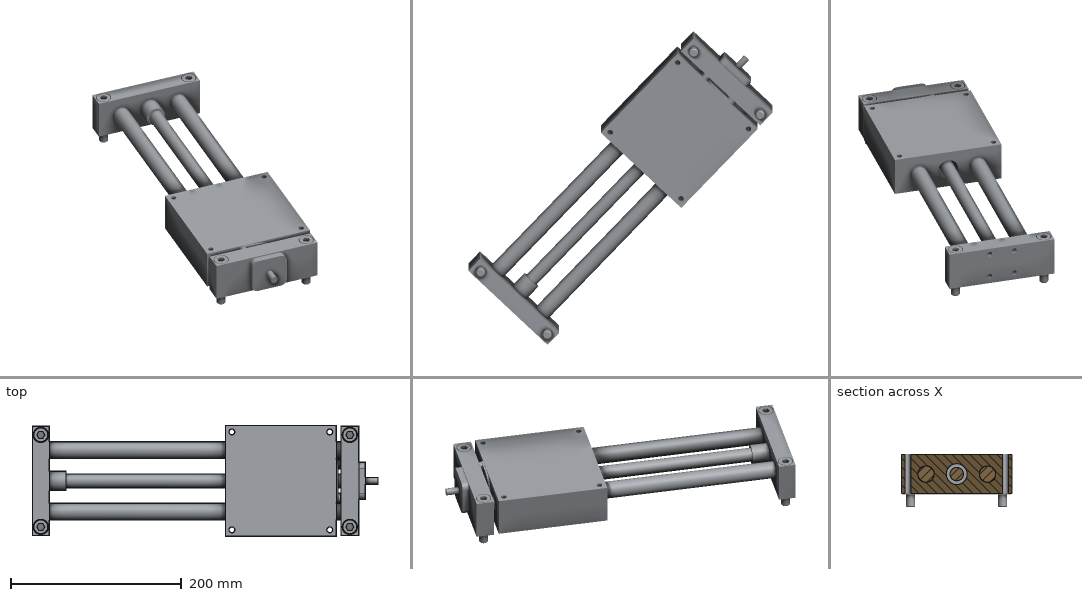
import cadquery as cq
import math


total_length = 405.0
near_plate_length = 20.0
far_plate_start = 361.3
far_plate_length = 21.0
far_plate_end = far_plate_start + far_plate_length

plate_width = 128.0
plate_height = 46.5
axis_height = 24.5
plate_hole_diameter = 6.0
plate_hole_depth = 10.0
plate_hole_offset = 15.0

rod_diameter = 20.0
rod_offset = 36.0
lead_screw_diameter = 16.0
collar_diameter = 22.5
collar_length = 20.0

flange_width = 43.7
flange_height = 42.0
flange_thickness = 7.5
flange_corner_radius = 7.3
journal_diameter = 8.0

mount_offset = 54.0
counterbore_diameter = 18.0
head_diameter = 16.0
head_height = 11.0
socket_width = 8.0
socket_depth = 5.0
thread_diameter = 10.5
thread_projection = 14.5
thread_chamfer = 1.2

carriage_length = 130.0
carriage_width = 130.0
carriage_height = 46.0
carriage_start = 226.0
carriage_end = carriage_start + carriage_length
carriage_bottom = 1.2
carriage_top = carriage_bottom + carriage_height
corner_hole_diameter = 6.5
corner_hole_inset = 7.5
screw_clearance_diameter = 24.0

nut_diameter = 43.7
nut_thickness = 2.0
ear_y = 19.5
ear_z = 16.5
ear_diameter = 12.0
bolt_head_diameter = 11.0
bolt_head_height = 3.0

stop_pin_diameter = 8.5
stop_pin_y = -21.0
stop_pin_z = -16.5


def cylinder_x(diameter, start, end, y=0.0, z=0.0):
    """Cylinder along X, with y and z measured from the lead screw axis."""
    circle = cq.Workplane("YZ", origin=(start, y, axis_height + z)).circle(diameter / 2)
    return circle.extrude(end - start)


def block(start, length, width, bottom, height):
    """Block centred in Y that starts at the given X and Z."""
    solid = cq.Workplane("XY").box(length, width, height, centered=(False, True, False))
    return solid.translate((start, 0, bottom))


def mount_screw():
    """Socket head screw whose head top is at Z = 0."""
    hex_corner_diameter = socket_width / math.cos(math.pi / 6)
    shank_length = plate_height + thread_projection
    shank = cq.Workplane("XY").circle(thread_diameter / 2).extrude(-shank_length)
    shank = shank.faces("<Z").chamfer(thread_chamfer)
    head = cq.Workplane("XY").circle(head_diameter / 2).extrude(-head_height)
    socket = cq.Workplane("XY").polygon(6, hex_corner_diameter).extrude(-socket_depth)
    return shank.union(head).cut(socket)


def end_plate(start, length):
    """End plate with a counterbored mounting screw near each end."""
    plate = block(start, length, plate_width, 0, plate_height)
    for side in (-1, 1):
        head_top = (start + length / 2, side * mount_offset, plate_height)
        counterbore = cq.Workplane("XY", origin=head_top).circle(counterbore_diameter / 2)
        plate = plate.cut(counterbore.extrude(-head_height))
        plate = plate.union(mount_screw().translate(head_top))
    return plate


def near_plate():
    plate = end_plate(0, near_plate_length)
    for y in (-plate_hole_offset, plate_hole_offset):
        for z in (-plate_hole_offset, plate_hole_offset):
            plate = plate.cut(cylinder_x(plate_hole_diameter, 0, plate_hole_depth, y, z))
    return plate


def bearing_flange():
    bottom = axis_height - flange_height / 2
    flange = block(far_plate_end, flange_thickness, flange_width, bottom, flange_height)
    return flange.edges("|X").fillet(flange_corner_radius)


def lead_screw():
    collar = cylinder_x(collar_diameter, near_plate_length, near_plate_length + collar_length)
    screw = cylinder_x(lead_screw_diameter, near_plate_length, far_plate_start)
    journal = cylinder_x(journal_diameter, far_plate_start, total_length)
    return collar.union(screw).union(journal)


def build_frame():
    frame = near_plate().union(end_plate(far_plate_start, far_plate_length))
    for side in (-1, 1):
        guide_rod = cylinder_x(rod_diameter, near_plate_length, far_plate_start, side * rod_offset)
        frame = frame.union(guide_rod)
    frame = frame.union(bearing_flange()).union(lead_screw())
    stop_pin = cylinder_x(stop_pin_diameter, carriage_end, far_plate_start, stop_pin_y, stop_pin_z)
    return frame.union(stop_pin)


def nut_ear():
    """Bolt ear at +Y, -Z, joined to the nut disc by its two outer tangents."""
    nut_radius = nut_diameter / 2
    ear_radius = ear_diameter / 2
    ear_direction = math.atan2(-ear_z, ear_y)
    tangent_spread = math.acos((nut_radius - ear_radius) / math.hypot(ear_y, ear_z))
    first_tangent = ear_direction - tangent_spread
    second_tangent = ear_direction + tangent_spread

    def on_disc(angle):
        return nut_radius * math.cos(angle), nut_radius * math.sin(angle)

    def on_ear(angle):
        return ear_y + ear_radius * math.cos(angle), -ear_z + ear_radius * math.sin(angle)

    outline = (
        cq.Workplane("YZ", origin=(carriage_end, 0, axis_height))
        .moveTo(0, 0)
        .lineTo(*on_disc(first_tangent))
        .lineTo(*on_ear(first_tangent))
        .threePointArc(on_ear(ear_direction), on_ear(second_tangent))
        .lineTo(*on_disc(second_tangent))
        .close()
    )
    return outline.extrude(nut_thickness)


def nut_flange():
    nut_end = carriage_end + nut_thickness
    nut = cylinder_x(nut_diameter, carriage_end, nut_end)
    for side in (1, -1):
        turn = 0 if side == 1 else 180
        ear = nut_ear().rotate((0, 0, axis_height), (1, 0, axis_height), turn)
        bolt_head = cylinder_x(
            bolt_head_diameter, nut_end, nut_end + bolt_head_height, side * ear_y, -side * ear_z
        )
        nut = nut.union(ear).union(bolt_head)
    return nut.cut(cylinder_x(lead_screw_diameter, carriage_end, nut_end))


def build_carriage():
    carriage = block(carriage_start, carriage_length, carriage_width, carriage_bottom, carriage_height)
    hole_spacing = carriage_length - 2 * corner_hole_inset
    middle = (carriage_start + carriage_length / 2, 0, carriage_top)
    holes = cq.Workplane("XY", origin=middle).rarray(hole_spacing, hole_spacing, 2, 2)
    carriage = carriage.cut(holes.circle(corner_hole_diameter / 2).extrude(-carriage_height))
    for side in (-1, 1):
        carriage = carriage.cut(cylinder_x(rod_diameter, carriage_start, carriage_end, side * rod_offset))
    carriage = carriage.cut(cylinder_x(screw_clearance_diameter, carriage_start, carriage_end))
    return carriage.union(nut_flange())


frame = build_frame()
carriage = build_carriage()
result = cq.Compound.makeCompound([frame.val(), carriage.val()])